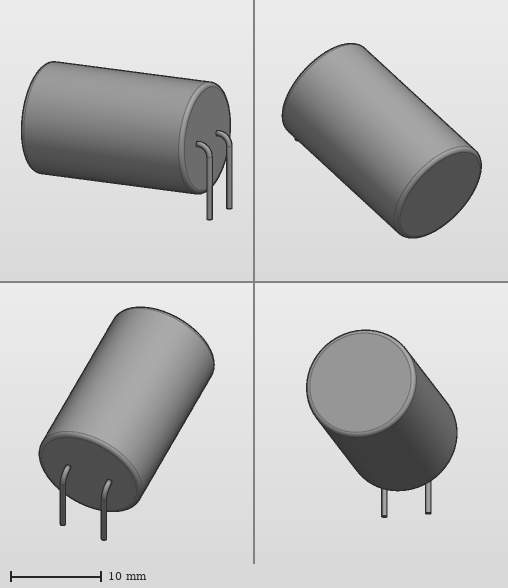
import cadquery as cq

can_length = 20.0
can_diameter = 12.5
can_edge_radius = 0.48

lead_diameter = 0.6
lead_spacing = 5.0
bend_radius = 1.3
overall_length = 21.8
overall_height = 14.7

drop_x = overall_length - lead_diameter / 2
bend_start_x = drop_x - bend_radius
lead_bottom_z = can_diameter / 2 - overall_height


def make_can():
    """Cylinder with both end rims rounded."""
    can = cq.Workplane("YZ").circle(can_diameter / 2).extrude(can_length)
    return can.faces("<X or >X").edges().fillet(can_edge_radius)


def make_lead(y):
    """Lead with a short straight stub, a quarter bend and a straight drop."""
    stub_start_x = can_length - lead_diameter
    stub = (
        cq.Workplane("YZ", origin=(stub_start_x, y, 0))
        .circle(lead_diameter / 2)
        .extrude(bend_start_x - stub_start_x)
    )
    bend = (
        cq.Workplane("YZ", origin=(bend_start_x, y, 0))
        .circle(lead_diameter / 2)
        .revolve(90, (0, -bend_radius, 0), (1, -bend_radius, 0))
    )
    drop = (
        cq.Workplane("XY", origin=(drop_x, y, lead_bottom_z))
        .circle(lead_diameter / 2)
        .extrude(-bend_radius - lead_bottom_z)
    )
    return stub.union(bend).union(drop)


result = make_can()
for side in (-1, 1):
    result = result.union(make_lead(side * lead_spacing / 2))